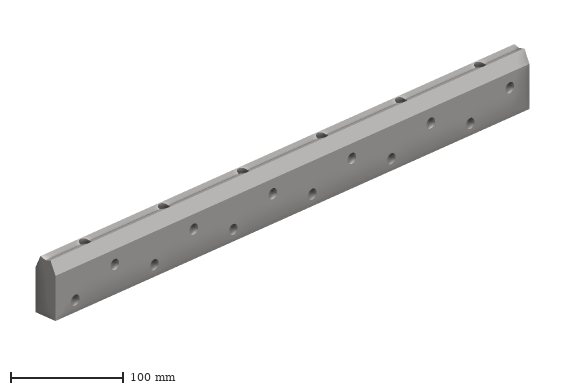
import cadquery as cq

LENGTH = 600.0
WIDTH = 25.0
HEIGHT = 58.0

SHOULDER_HEIGHT = 45.0
TOP_WIDTH = 12.5
GROOVE_DEPTH = 2.0

HOLE_DIAMETER = 11.0
HOLES_PER_ROW = 6
PITCH = LENGTH / HOLES_PER_ROW
UPPER_ROW_HEIGHT = 30.0
LOWER_ROW_HEIGHT = 12.0
CROSS_ROW_OFFSET = PITCH / 4


def make_rail():
    """Extrude the symmetric cross-section along Y, centred on the origin in X and Y."""
    half_width = WIDTH / 2
    half_top = TOP_WIDTH / 2
    return (
        cq.Workplane("XZ")
        .moveTo(-half_width, 0)
        .lineTo(half_width, 0)
        .lineTo(half_width, SHOULDER_HEIGHT)
        .lineTo(half_top, HEIGHT)
        .lineTo(0, HEIGHT - GROOVE_DEPTH)
        .lineTo(-half_top, HEIGHT)
        .lineTo(-half_width, SHOULDER_HEIGHT)
        .close()
        .extrude(LENGTH / 2, both=True)
    )


def row_positions(offset):
    """Y positions of one hole row, shifted by offset from the evenly centred row."""
    middle = (HOLES_PER_ROW - 1) / 2
    return [(index - middle) * PITCH + offset for index in range(HOLES_PER_ROW)]


def cross_holes(height, offset):
    """Cutters for a row of holes through the width."""
    centres = [(y, height) for y in row_positions(offset)]
    return (
        cq.Workplane("YZ")
        .pushPoints(centres)
        .circle(HOLE_DIAMETER / 2)
        .extrude(WIDTH, both=True)
    )


def vertical_holes():
    """Cutters for the row of holes from the groove down through the base."""
    centres = [(0, y) for y in row_positions(0)]
    return cq.Workplane("XY").pushPoints(centres).circle(HOLE_DIAMETER / 2).extrude(HEIGHT)


result = (
    make_rail()
    .cut(vertical_holes())
    .cut(cross_holes(UPPER_ROW_HEIGHT, CROSS_ROW_OFFSET))
    .cut(cross_holes(LOWER_ROW_HEIGHT, -CROSS_ROW_OFFSET))
)